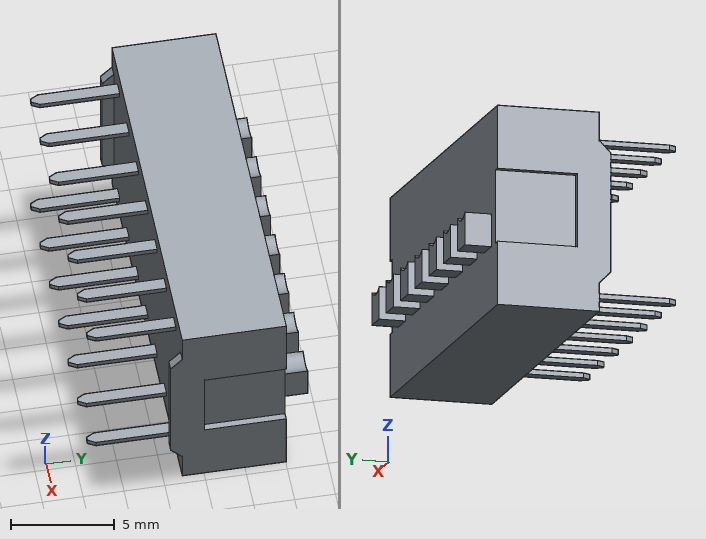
import cadquery as cq

length = 19.08
height = 9.9
depth = 5.1
mount_y = -depth / 2
actuator_y = depth / 2

position_count = 7
pitch = 2.54
row_offset = -0.15

actuator_width = 1.3
actuator_height = 1.62
actuator_reach = 1.32
saddle_depth = 0.25

recess_height = 3.63
recess_length = 4.0
recess_depth = 0.35

rib_width = 0.48
rib_height = 7.08
rib_reach = 0.57

pin_width = 0.63
pin_thickness = 0.25
pin_reach = 4.3
pin_row_spacing = 7.63
pin_tip_length = 0.38
pin_tip_width = 0.2

position_xs = [row_offset + (i - (position_count - 1) / 2) * pitch for i in range(position_count)]


def make_housing():
    """Block with a shallow recess in each end face."""
    housing = cq.Workplane("XY").box(length, depth, height)
    recess = cq.Workplane("XY").box(2 * recess_depth, recess_length, recess_height)
    for side in (-1, 1):
        housing = housing.cut(recess.translate((side * length / 2, actuator_y - recess_length / 2, 0)))
    return housing


def make_rib(side):
    """Standoff rib at one end, its top and bottom sloped at 45 degrees."""
    flat_half = rib_height / 2 - rib_reach
    outline = [
        (mount_y, -rib_height / 2),
        (mount_y - rib_reach, -flat_half),
        (mount_y - rib_reach, flat_half),
        (mount_y, rib_height / 2),
    ]
    center_x = side * (length - rib_width) / 2
    return (
        cq.Workplane("YZ", origin=(center_x, 0, 0))
        .polyline(outline)
        .close()
        .extrude(rib_width / 2, both=True)
    )


def make_actuator(x):
    """Finger key with a saddle on top; its underside is level with the recess bottoms."""
    bottom = -recess_height / 2
    top = bottom + actuator_height
    half = actuator_width / 2
    return (
        cq.Workplane("XZ", origin=(x, actuator_y, 0))
        .moveTo(-half, top)
        .lineTo(-half, bottom)
        .lineTo(half, bottom)
        .lineTo(half, top)
        .threePointArc((0, top - saddle_depth), (-half, top))
        .close()
        .extrude(-actuator_reach)
    )


def make_pin(x, z):
    """Flat pin with a tapered tip."""
    half = pin_width / 2
    tip_half = pin_tip_width / 2
    end_y = mount_y - pin_reach
    shoulder_y = end_y + pin_tip_length
    outline = [
        (-half, mount_y),
        (-half, shoulder_y),
        (-tip_half, end_y),
        (tip_half, end_y),
        (half, shoulder_y),
        (half, mount_y),
    ]
    return (
        cq.Workplane("XY", origin=(x, 0, z))
        .polyline(outline)
        .close()
        .extrude(pin_thickness / 2, both=True)
    )


result = make_housing()
for side in (-1, 1):
    result = result.union(make_rib(side))
for x in position_xs:
    result = result.union(make_actuator(x))
    for row in (-1, 1):
        result = result.union(make_pin(x, row * pin_row_spacing / 2))